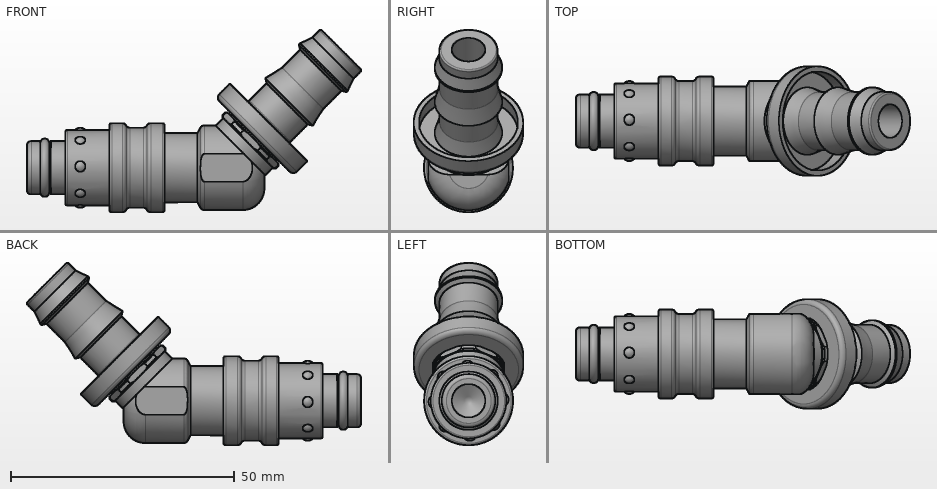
import cadquery as cq
import math

OVERALL_LENGTH = 74.9


NOSE_DIA = 12.0
NOSE_FILLET = 1.0
GROOVE_DIA = 9.0
GROOVE_START = 3.0
GROOVE_END = 5.4
RING_DIA = 13.1

SLEEVE_START = 8.6
SLEEVE_DIA = 16.9
SLEEVE_FILLET = 0.45
BUMP_COUNT = 8
BUMP_X = 12.0
BUMP_TIP_DIA = 18.0
BUMP_RADIUS = 1.5
BUMP_TURN = -2.0

COLLAR_START = 18.5
COLLAR_END = 30.85
COLLAR_DIA = 20.0
COLLAR_FILLET = 0.5
WAIST_START = 23.1
WAIST_END = 26.1
WAIST_DIA = 18.0
FLARE_LENGTH = 1.65

NECK_DIA = 15.6
ELBOW_START = 38.2
ELBOW_END = 53.25
ELBOW_DIA = 19.0
ELBOW_WIDTH = 18.0
ELBOW_CONE_LENGTH = 1.0
ELBOW_CONE_FILLET = 1.05
ELBOW_END_FILLET = 4.95

BEND_ANGLE = 45.0
BRANCH_START = 5.5
BRANCH_DIA = 15.7
HEX_START = 7.9
HEX_END = 9.4
HEX_WIDTH = 16.0
HEX_CORNER_DIA = 16.9
HEX_CORNER_CHAMFER = 0.3
STEM_DIA = 14.4

FLANGE_START = 9.9
FLANGE_THICKNESS = 4.5
FLANGE_DIA = 24.6
FLANGE_FILLET = 1.1
FLANGE_WALL = 1.2

TAIL_END = 37.4
TAIL_DIA = 13.1
TAIL_FILLET = 0.4
BARB_DIA = 15.1
BARB_BACK_LENGTH = 0.6
ROOT_BARB_END = 14.75
MIDDLE_BARB_START = 20.2
MIDDLE_BARB_END = 25.2
END_BARB_START = 30.85
END_BARB_END = 34.75
END_BARB_LAND = 0.45

BORE_DIA = 7.5
BORE_TIP_ANGLE = 118.0
MAIN_BORE_DEPTH = 35.95
BRANCH_BORE_DEPTH = 28.45

BRANCH_COS = math.cos(math.radians(BEND_ANGLE))
BRANCH_SIN = math.sin(math.radians(BEND_ANGLE))
BRANCH_REACH = (TAIL_END - TAIL_FILLET) * BRANCH_COS + (TAIL_DIA / 2 - TAIL_FILLET) * BRANCH_SIN + TAIL_FILLET
BEND_X = OVERALL_LENGTH - BRANCH_REACH

BRANCH_PLANE = cq.Plane(
    origin=(BEND_X, 0, 0),
    xDir=(0, 1, 0),
    normal=(BRANCH_COS, 0, BRANCH_SIN),
)
BRANCH_BACK = cq.DirectionMinMaxSelector(BRANCH_PLANE.zDir, directionMax=False)
BRANCH_FRONT = cq.DirectionMinMaxSelector(BRANCH_PLANE.zDir)


def main_rod(start, end, dia):
    """Cylinder on the main axis."""
    return cq.Workplane("YZ", origin=(start, 0, 0)).circle(dia / 2).extrude(end - start)


def branch_rod(start, end, dia):
    """Cylinder on the branch axis."""
    return cq.Workplane(BRANCH_PLANE).workplane(offset=start).circle(dia / 2).extrude(end - start)


def stand_on(body, plane):
    """Move a body built about the Z axis so that it stands on the given plane."""
    return cq.Workplane(body.val().moved(cq.Location(plane)))


def drill(depth):
    """Drill shape with its mouth at the origin and its tip pointing along +Z."""
    radius = BORE_DIA / 2
    tip_length = radius / math.tan(math.radians(BORE_TIP_ANGLE / 2))
    profile = cq.Workplane("XZ").polyline([(0, 0), (radius, 0), (radius, depth), (0, depth + tip_length)])
    return profile.close().revolve(360, (0, 0), (0, 1))


def make_nose():
    """Rounded nose with a square groove for the O-ring."""
    nose = main_rod(0, SLEEVE_START, NOSE_DIA).faces("<X").edges().fillet(NOSE_FILLET)
    groove = main_rod(GROOVE_START, GROOVE_END, NOSE_DIA).cut(main_rod(GROOVE_START, GROOVE_END, GROOVE_DIA))
    return nose.cut(groove)


def make_sleeve():
    """Sleeve with a ring of round bumps."""
    sleeve = main_rod(SLEEVE_START, COLLAR_START, SLEEVE_DIA).faces("<X").edges().fillet(SLEEVE_FILLET)
    centre_radius = BUMP_TIP_DIA / 2 - BUMP_RADIUS
    bump = cq.Workplane("XY").sphere(BUMP_RADIUS).translate((BUMP_X, 0, centre_radius))
    for i in range(BUMP_COUNT):
        sleeve = sleeve.union(bump.rotate((0, 0, 0), (1, 0, 0), BUMP_TURN + i * 360 / BUMP_COUNT))
    return sleeve


def make_collar():
    """Two rims joined to the waist by S-shaped flares of two tangent arcs each."""
    rim = COLLAR_DIA / 2
    waist = WAIST_DIA / 2
    middle = (rim + waist) / 2
    collar = (
        cq.Workplane("XZ")
        .moveTo(COLLAR_START, 0)
        .lineTo(COLLAR_START, rim)
        .lineTo(WAIST_START - FLARE_LENGTH, rim)
        .tangentArcPoint((WAIST_START - FLARE_LENGTH / 2, middle), relative=False)
        .tangentArcPoint((WAIST_START, waist), relative=False)
        .lineTo(WAIST_END, waist)
        .tangentArcPoint((WAIST_END + FLARE_LENGTH / 2, middle), relative=False)
        .tangentArcPoint((WAIST_END + FLARE_LENGTH, rim), relative=False)
        .lineTo(COLLAR_END, rim)
        .lineTo(COLLAR_END, 0)
        .close()
        .revolve(360, (0, 0), (1, 0))
    )
    return collar.faces("<X or >X").edges().fillet(COLLAR_FILLET)


def make_elbow():
    """Round block with a coned start, a domed end, two side flats and a slanted face for the branch."""
    radius = ELBOW_DIA / 2
    cone_end = ELBOW_START + ELBOW_CONE_LENGTH
    profile = cq.Workplane("XZ").polyline(
        [
            (ELBOW_START, 0),
            (ELBOW_START, NECK_DIA / 2),
            (cone_end, radius),
            (ELBOW_END, radius),
            (ELBOW_END, 0),
        ]
    )
    block = profile.close().revolve(360, (0, 0), (1, 0))
    block = block.faces(">X").edges().fillet(ELBOW_END_FILLET)
    block = block.edges(cq.NearestToPointSelector((cone_end, 0, 0))).fillet(ELBOW_CONE_FILLET)
    block = block.intersect(cq.Workplane("XY").box(2 * ELBOW_END, ELBOW_WIDTH, ELBOW_DIA))
    return block.cut(branch_rod(BRANCH_START, TAIL_END, 2 * ELBOW_DIA))


def make_branch():
    """Round shank, a hexagon with turned corners, and the stem that carries the flange."""
    shank = branch_rod(BRANCH_START, HEX_START, BRANCH_DIA)
    turned = branch_rod(HEX_START, HEX_END, HEX_CORNER_DIA).edges().chamfer(HEX_CORNER_CHAMFER)
    corner_dia = HEX_WIDTH / math.cos(math.pi / 6)
    hexagon = (
        cq.Workplane(BRANCH_PLANE)
        .workplane(offset=HEX_START)
        .transformed(rotate=(0, 0, 90))
        .polygon(6, corner_dia)
        .extrude(HEX_END - HEX_START)
    )
    stem = branch_rod(HEX_END, FLANGE_START, STEM_DIA)
    return shank.union(turned.intersect(hexagon)).union(stem)


def make_flange():
    """Disc with a rounded back edge, hollowed from the hose side to a uniform wall."""
    rim = FLANGE_START + FLANGE_THICKNESS
    disc = branch_rod(FLANGE_START, rim, FLANGE_DIA)
    disc = disc.faces(BRANCH_BACK).edges().fillet(FLANGE_FILLET)
    return disc.cut(branch_rod(FLANGE_START + FLANGE_WALL, rim, FLANGE_DIA - 2 * FLANGE_WALL))


def barb(start, crest, end):
    """Hose barb that rises from start, has its full diameter at the crest stations and falls away to end."""
    tail = TAIL_DIA / 2
    crest_points = [(BARB_DIA / 2, station) for station in crest]
    profile = cq.Workplane("XZ").polyline([(0, start), (tail, start), *crest_points, (tail, end), (0, end)])
    return stand_on(profile.close().revolve(360, (0, 0), (0, 1)), BRANCH_PLANE)


def make_tail():
    """Hose tail from the floor of the dish, with one barb at its root, one midway and one near the end."""
    floor = FLANGE_START + FLANGE_WALL
    tail = branch_rod(floor, TAIL_END, TAIL_DIA).faces(BRANCH_FRONT).edges().fillet(TAIL_FILLET)
    middle_crest = MIDDLE_BARB_START + BARB_BACK_LENGTH
    end_crest = END_BARB_START + BARB_BACK_LENGTH
    tail = tail.union(barb(floor, [floor], ROOT_BARB_END))
    tail = tail.union(barb(MIDDLE_BARB_START, [middle_crest], MIDDLE_BARB_END))
    return tail.union(barb(END_BARB_START, [end_crest, end_crest + END_BARB_LAND], END_BARB_END))


def make_fitting():
    """Whole rigid fitting with a blind bore drilled from each end."""
    fitting = make_nose().union(make_sleeve()).union(make_collar())
    fitting = fitting.union(main_rod(COLLAR_END, ELBOW_START, NECK_DIA)).union(make_elbow())
    fitting = fitting.union(make_branch()).union(make_flange()).union(make_tail())
    main_bore = drill(MAIN_BORE_DEPTH).rotate((0, 0, 0), (0, 1, 0), 90)
    mouth = cq.Plane(BRANCH_PLANE.toWorldCoords((0, 0, TAIL_END)), BRANCH_PLANE.xDir, -BRANCH_PLANE.zDir)
    branch_bore = stand_on(drill(BRANCH_BORE_DEPTH), mouth)
    return fitting.cut(main_bore).cut(branch_bore)


def make_o_ring():
    """O-ring seated on the groove floor, against the wall nearest the nose face."""
    section_radius = (RING_DIA - GROOVE_DIA) / 4
    path_radius = GROOVE_DIA / 2 + section_radius
    centre = cq.Vector(GROOVE_START + section_radius, 0, 0)
    return cq.Workplane(cq.Solid.makeTorus(path_radius, section_radius, centre, cq.Vector(1, 0, 0)))


fitting = make_fitting()
o_ring = make_o_ring()
result = cq.Compound.makeCompound([fitting.solids().val(), o_ring.val()])